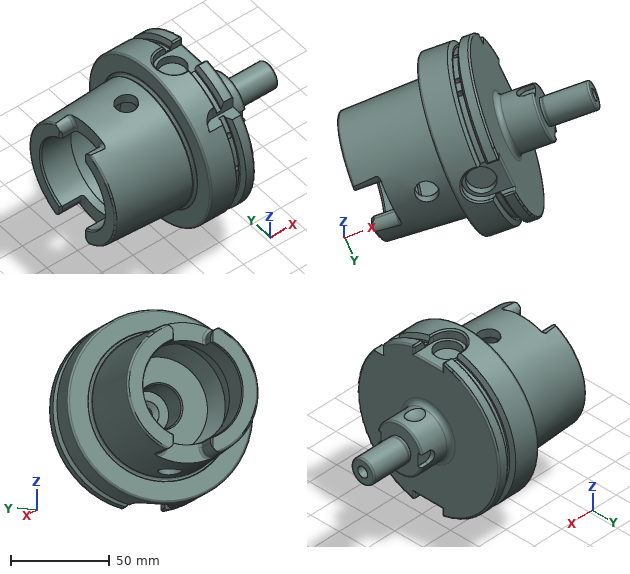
import cadquery as cq
import math


taper_length = 50.0
flange_length = 29.0
nose_length = 21.0
arbor_length = 27.0
flange_start = taper_length
flange_end = flange_start + flange_length
nose_end = flange_end + nose_length
arbor_end = nose_end + arbor_length

flange_radius = 100.0 / 2
nose_radius = 32.0 / 2
arbor_radius = 16.0 / 2
taper_base_radius = 37.6
taper_end_radius = 35.3
edge_round = 1.0
nose_root_round = 3.0

taper_relief_length = 2.2
taper_relief_ramp = 0.8
taper_relief_depth = 0.4
flange_relief_radius = 39.1
flange_relief_depth = 0.3
relief_corner_round = 0.8
arbor_relief_length = 2.0
arbor_relief_depth = 0.1

mouth_radius = 26.5
mouth_chamfer_width = 0.5
mouth_chamfer_depth = 1.1
mouth_depth = 20.0
clamp_groove_radius = 31.5
clamp_groove_end = 40.6
bore_floor_radius = 25.5
clamp_groove_back_angle = 30
thread_mouth_radius = 12.3
thread_radius = 11.5
thread_depth = 20.0
countersink_radius = 6.5
coolant_radius = 3.4
countersink_angle = 118

drive_slot_width = 20.1
drive_slot_corner = 5.0
drive_slot_shoulder = 32.3
drive_slot_floor_round = 1.5
drive_slot_chamfer_width = 0.8
drive_slot_chamfer_depth = 1.5
top_drive_slot_depth = 10.0
bottom_drive_slot_depth = 15.0

cross_hole_diameter = 12.5
cross_hole_x = 34.8

gripper_center = 69.8
gripper_floor_width = 3.0
gripper_floor_radius = 46.1
gripper_cone_radius = 47.2
gripper_flank_angle = 30

groove_hole_angles = (30, 5, -20, -30)
groove_hole_diameter = 3.0
groove_hole_depth = 7.6

keyway_width = 20.0
keyway_center = 64.8
keyway_floor = 44.0
keyway_chamfer = 1.0
pocket_diameter = 16.0
pocket_depth = 5.0

notch_offset = 31.6
notch_round = 7.5
notch_round_x = 65.9

dimple_x = 88.8
dimple_radius = 6.0
dimple_ball_radius = 10.0
side_slot_width = 8.1
side_slot_start = 90.8
side_slot_depth = 3.0


def cylinder_x(start, end, radius):
    """Cylinder about the X axis."""
    return cq.Workplane("YZ", origin=(start, 0, 0)).circle(radius).extrude(end - start)


def revolve_x(points):
    """Solid of revolution about X from (x, radius) points."""
    return cq.Workplane("XY").polyline(points).close().revolve(360, (0, 0, 0), (1, 0, 0))


def make_taper():
    return (
        revolve_x([
            (0, 0),
            (0, taper_end_radius),
            (taper_length, taper_base_radius),
            (taper_length, 0),
        ])
        .faces("<X").edges().fillet(edge_round)
    )


def make_foot_relief():
    """Undercut into both the foot of the taper and the flange face beside it."""
    floor = taper_base_radius - taper_relief_depth
    wall = flange_start + flange_relief_depth
    start = flange_start - taper_relief_length
    arc_drop = relief_corner_round * (1 - math.sqrt(0.5))
    return (
        cq.Workplane("XY")
        .moveTo(start, taper_base_radius)
        .lineTo(start + taper_relief_ramp, floor)
        .lineTo(wall - relief_corner_round, floor)
        .threePointArc((wall - arc_drop, floor + arc_drop), (wall, floor + relief_corner_round))
        .lineTo(wall, flange_relief_radius - flange_relief_depth)
        .lineTo(flange_start, flange_relief_radius)
        .lineTo(start, flange_relief_radius)
        .close()
        .revolve(360, (0, 0, 0), (1, 0, 0))
    )


def make_keyway():
    """Round-ended keyway at +Z, open toward the nose."""
    height = flange_radius
    half = keyway_width / 2
    return (
        cq.Workplane("XY", origin=(0, 0, keyway_floor))
        .moveTo(flange_end + 1.3, half)
        .lineTo(keyway_center, half)
        .threePointArc((keyway_center - half, 0), (keyway_center, -half))
        .lineTo(flange_end + 1.3, -half)
        .close()
        .extrude(height)
    )


def mirror_down(body):
    return body.mirror("XY")


def make_flange():
    """Flange disc with chamfered keyways and rounded ends."""
    flange = cylinder_x(flange_start, flange_end, flange_radius)
    keyway = make_keyway()
    flange = flange.cut(keyway).cut(mirror_down(keyway))
    for side in (1, -1):
        rim_zone = cq.selectors.BoxSelector(
            (flange_start + edge_round, -keyway_width, side * (keyway_floor + flange_radius) / 2),
            (flange_end, keyway_width, side * (flange_radius + 1.3)),
        )
        flange = flange.edges(rim_zone).chamfer(keyway_chamfer)
    flange = flange.faces("<X").edges().fillet(edge_round)
    return flange.faces(">X").edges().fillet(edge_round)


def make_gripper_groove():
    half_floor = gripper_floor_width / 2
    rise = flange_radius + 1.3 - gripper_cone_radius
    half_top = half_floor + rise * math.tan(math.radians(gripper_flank_angle))
    return revolve_x([
        (gripper_center - half_floor, gripper_floor_radius),
        (gripper_center - half_floor, gripper_cone_radius),
        (gripper_center - half_top, flange_radius + 1.3),
        (gripper_center + half_top, flange_radius + 1.3),
        (gripper_center + half_floor, gripper_cone_radius),
        (gripper_center + half_floor, gripper_floor_radius),
    ]).cut(cylinder_x(flange_start, flange_end, gripper_floor_radius))


def make_pocket():
    return (
        cq.Workplane("XY", origin=(keyway_center, 0, keyway_floor - pocket_depth))
        .circle(pocket_diameter / 2).extrude(flange_radius)
    )


def make_notch():
    height = flange_radius - notch_offset
    inner = -notch_offset
    outer = -notch_offset - notch_round
    corner = notch_round * math.sqrt(0.5)
    return (
        cq.Workplane("XY", origin=(0, 0, notch_offset))
        .moveTo(flange_end + 1.3, inner)
        .lineTo(notch_round_x, inner)
        .threePointArc((notch_round_x - corner, outer + corner), (notch_round_x - notch_round, outer))
        .lineTo(notch_round_x - notch_round, -flange_radius)
        .lineTo(flange_end + 1.3, -flange_radius)
        .close()
        .extrude(height)
    )


def make_groove_hole(angle):
    bottom = gripper_floor_radius - groove_hole_depth
    return (
        cq.Workplane("XZ", origin=(gripper_center, -bottom, 0))
        .circle(groove_hole_diameter / 2).extrude(groove_hole_depth)
        .rotate((0, 0, 0), (1, 0, 0), -angle)
    )


def make_nose():
    nose = cylinder_x(flange_end, nose_end, nose_radius).faces(">X").edges().fillet(edge_round)
    root = (
        cq.Workplane("XY")
        .moveTo(flange_end, 0)
        .lineTo(flange_end, nose_radius + nose_root_round)
        .radiusArc((flange_end + nose_root_round, nose_radius), -nose_root_round)
        .lineTo(flange_end + nose_root_round, 0)
        .close()
        .revolve(360, (0, 0, 0), (1, 0, 0))
    )
    return nose.union(root)


def make_dimple():
    """Ball that sinks a shallow dish into the top of the nose."""
    ball_height = nose_radius + math.sqrt(dimple_ball_radius ** 2 - dimple_radius ** 2)
    return cq.Workplane("XY").sphere(dimple_ball_radius).translate((dimple_x, 0, ball_height))


def make_side_slot():
    half = side_slot_width / 2
    floor = nose_radius - side_slot_depth
    return (
        cq.Workplane("XZ", origin=(0, -floor, 0))
        .moveTo(nose_end, half)
        .lineTo(side_slot_start + half, half)
        .threePointArc((side_slot_start, 0), (side_slot_start + half, -half))
        .lineTo(nose_end, -half)
        .close()
        .extrude(side_slot_depth)
    )


def make_arbor():
    arbor = cylinder_x(nose_end, arbor_end, arbor_radius).faces(">X").edges().fillet(edge_round)
    floor = arbor_radius - arbor_relief_depth
    relief_end = nose_end + arbor_relief_length
    relief = revolve_x([
        (nose_end, floor),
        (relief_end - arbor_relief_length / 3, floor),
        (relief_end, arbor_radius),
        (relief_end, arbor_radius + 1.3),
        (nose_end, arbor_radius + 1.3),
    ])
    return arbor.cut(relief)


def make_bore():
    back_cone = (clamp_groove_radius - bore_floor_radius) / math.tan(math.radians(clamp_groove_back_angle))
    bore_floor = clamp_groove_end + back_cone
    thread_chamfer = thread_mouth_radius - thread_radius
    thread_end = bore_floor + thread_depth
    countersink = (countersink_radius - coolant_radius) / math.tan(math.radians(countersink_angle / 2))
    return revolve_x([
        (0, 0),
        (0, mouth_radius + mouth_chamfer_width),
        (mouth_chamfer_depth, mouth_radius),
        (mouth_depth, mouth_radius),
        (mouth_depth, clamp_groove_radius),
        (clamp_groove_end, clamp_groove_radius),
        (bore_floor, bore_floor_radius),
        (bore_floor, thread_mouth_radius),
        (bore_floor + thread_chamfer, thread_radius),
        (thread_end, thread_radius),
        (thread_end, countersink_radius),
        (thread_end + countersink, coolant_radius),
        (arbor_end, coolant_radius),
        (arbor_end, 0),
    ])


def make_drive_slot(depth):
    """Slot at +Z whose walls curve outward into flat shoulders."""
    half = drive_slot_width / 2
    shoulder_y = half + drive_slot_corner
    arc_start = drive_slot_shoulder - drive_slot_corner
    mid_y = shoulder_y - drive_slot_corner * math.sqrt(0.5)
    mid_z = arc_start + drive_slot_corner * math.sqrt(0.5)
    far = flange_radius
    slot = (
        cq.Workplane("YZ", origin=(-1.3, 0, 0))
        .moveTo(-half, 0)
        .lineTo(half, 0)
        .lineTo(half, arc_start)
        .threePointArc((mid_y, mid_z), (shoulder_y, drive_slot_shoulder))
        .lineTo(far, drive_slot_shoulder)
        .lineTo(far, far)
        .lineTo(-far, far)
        .lineTo(-far, drive_slot_shoulder)
        .lineTo(-shoulder_y, drive_slot_shoulder)
        .threePointArc((-mid_y, mid_z), (-half, arc_start))
        .close()
        .extrude(depth + 1.3)
        .faces(">X").edges().fillet(drive_slot_floor_round)
    )
    mouth = (
        cq.Workplane("XY")
        .polyline([
            (0, -half - drive_slot_chamfer_width),
            (drive_slot_chamfer_depth, -half),
            (drive_slot_chamfer_depth, half),
            (0, half + drive_slot_chamfer_width),
        ]).close()
        .extrude(drive_slot_shoulder)
    )
    return slot.union(mouth)


def make_cross_hole():
    return (
        cq.Workplane("XY", origin=(cross_hole_x, 0, -flange_radius))
        .circle(cross_hole_diameter / 2).extrude(2 * flange_radius)
    )


flange = make_flange()
flange = flange.cut(make_gripper_groove())
pocket = make_pocket()
flange = flange.cut(pocket).cut(mirror_down(pocket)).cut(make_notch())
for angle in groove_hole_angles:
    flange = flange.cut(make_groove_hole(angle))

side_slot = make_side_slot()
nose = make_nose().cut(make_dimple()).cut(side_slot).cut(side_slot.mirror("XZ"))

taper = make_taper()
taper = taper.cut(make_drive_slot(top_drive_slot_depth))
taper = taper.cut(mirror_down(make_drive_slot(bottom_drive_slot_depth)))
taper = taper.cut(make_cross_hole())

result = taper.union(flange).union(nose).union(make_arbor())
result = result.cut(make_foot_relief()).cut(make_bore())